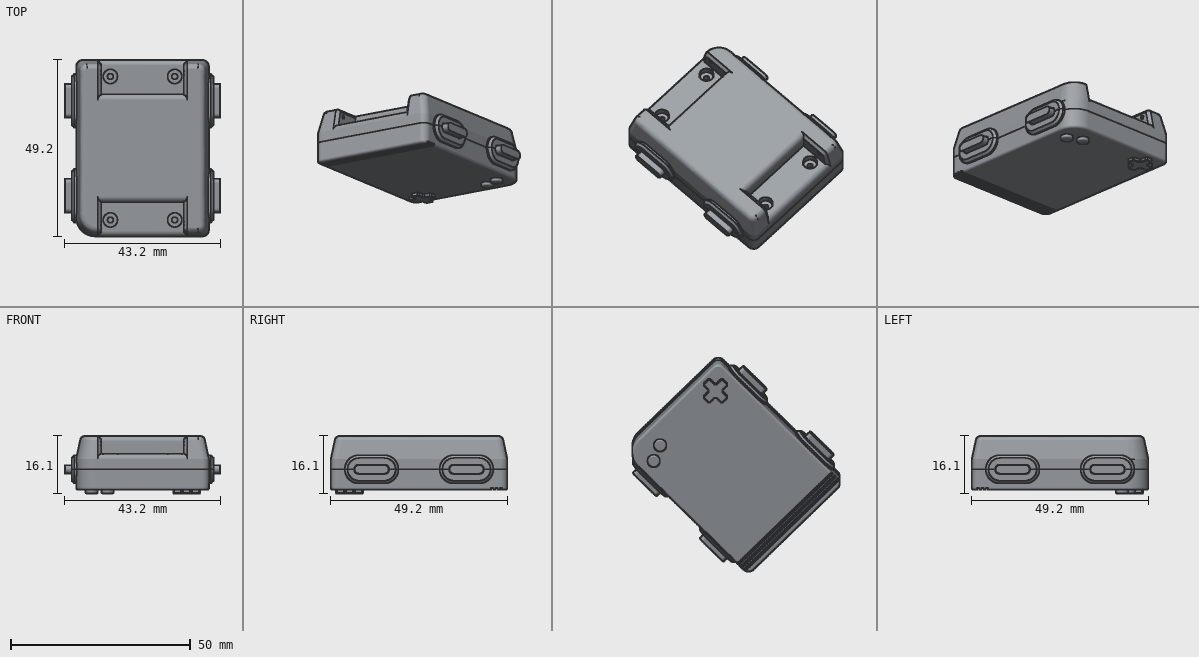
import cadquery as cq
import math

CASE_LENGTH = 49.15
CASE_WIDTH = 37.0
CASE_HEIGHT = 15.05
PARTING_Z = 5.75
CORNER_RADIUS = 1.95
BIG_CORNER_RADIUS = 5.5
BOTTOM_FILLET = 0.7

DRAFT_START_Z = 8.6
DRAFT_ANGLE = 12.0
LID_FILLET = 1.47
CORNER_TOP_RADIUS = 1.75
BIG_CORNER_TOP_RADIUS = 4.55
TOP_INSET = (CASE_HEIGHT - DRAFT_START_Z) * math.tan(math.radians(DRAFT_ANGLE))

POCKET_WIDTH = 23.0
POCKET_FLOOR_Z = 10.1
POCKET_BACK_Y = 15.0
POCKET_CHAMFER = 0.95
POCKET_FILLET = 1.5
PIN_HOLE_DIAMETER = 1.0
PIN_HOLE_DEPTH = 1.95
PIN_HOLE_Y = 20.95
PIN_HOLE_Z = 13.0

SCREW_X = 8.95
SCREW_Y = 19.95
SCREW_DIAMETER = 1.6
SCREW_HEAD_DIAMETER = 4.0
SCREW_HEAD_DEPTH = 2.2

BOSS_SPACING = 26.4
BOSS_Y = BOSS_SPACING / 2
BOSS_LENGTH = 14.95
BOSS_HEIGHT = 7.85
BOSS_FACE_X = 19.75
BOSS_CHAMFER = 0.8
PLUG_LENGTH = 9.45
PLUG_HEIGHT = 2.35
BAR_ROUNDING = 0.49
PLUG_CLEARANCE = 0.15
PLUG_SPAN = 43.2
PLUG_END_X = PLUG_SPAN / 2

PAD_HEIGHT = 1.0
ROUND_PAD_DIAMETER = 3.5
ROUND_PAD_FILLET = 0.45
ROUND_PAD_CENTRES = [(-14.15, -17.2), (-9.75, -19.1)]
CROSS_CENTRE = (12.25, -19.35, 0)
CROSS_SPAN = 7.5
CROSS_ARM_WIDTH = 2.5
CROSS_CORNER_CHAMFER = 0.35
CROSS_EDGE_CHAMFER = 0.15
GROOVE_WIDTH = 0.55
GROOVE_DEPTH = 0.55
GROOVE_PITCH = 1.25
GROOVE_MIDDLE_Y = 21.6

SIDES = (-1, 1)
TOLERANCE = 0.05


def case_outline(z, inset, corner_radius, big_corner_radius):
    """Rounded rectangle at height z whose -X, -Y corner has the larger radius."""
    x = CASE_WIDTH / 2 - inset
    y = CASE_LENGTH / 2 - inset
    r = corner_radius
    big = big_corner_radius
    return (
        cq.Workplane("XY", origin=(0, 0, z))
        .moveTo(-x + big, -y)
        .lineTo(x - r, -y)
        .radiusArc((x, -y + r), -r)
        .lineTo(x, y - r)
        .radiusArc((x - r, y), -r)
        .lineTo(-x + r, y)
        .radiusArc((-x, y - r), -r)
        .lineTo(-x, -y + big)
        .radiusArc((-x + big, -y), -big)
        .close()
    )


def side_boss(side, y):
    """Oblong boss rooted inside the case, centred on the parting plane, with a chamfered face."""
    root_x = CASE_WIDTH / 2 - 2 * TOP_INSET
    boss = (
        cq.Workplane("YZ", origin=(side * root_x, y, PARTING_Z))
        .slot2D(BOSS_LENGTH, BOSS_HEIGHT)
        .extrude(side * (BOSS_FACE_X - root_x))
    )
    face = ">X" if side > 0 else "<X"
    return boss.faces(face).chamfer(BOSS_CHAMFER)


def side_bar(side, y, length, height, outer_x):
    """Bar with rounded ends, from the side wall of the case out to outer_x."""
    root_x = CASE_WIDTH / 2
    return (
        cq.Workplane("YZ", origin=(side * root_x, y, PARTING_Z))
        .rect(length, height)
        .extrude(side * (outer_x - root_x))
        .edges("|X")
        .fillet(BAR_ROUNDING * height)
    )


def plug(side, y):
    """Plug that stands on the side wall of the case and sticks out of its boss."""
    return side_bar(side, y, PLUG_LENGTH, PLUG_HEIGHT, PLUG_END_X)


def plug_recess(side, y):
    """Opening through a boss that leaves a narrow gap around the plug."""
    length = PLUG_LENGTH + 2 * PLUG_CLEARANCE
    height = PLUG_HEIGHT + 2 * PLUG_CLEARANCE
    return side_bar(side, y, length, height, BOSS_FACE_X)


def lid_blank():
    """Solid lid: straight skirt below, sloping crown with a rounded top edge above."""
    base = case_outline(PARTING_Z, 0, CORNER_RADIUS, BIG_CORNER_RADIUS)
    skirt = base.extrude(DRAFT_START_Z - PARTING_Z)
    lower = case_outline(DRAFT_START_Z, 0, CORNER_RADIUS, BIG_CORNER_RADIUS).val()
    upper = case_outline(CASE_HEIGHT, TOP_INSET, CORNER_TOP_RADIUS, BIG_CORNER_TOP_RADIUS).val()
    crown = cq.Workplane(cq.Solid.makeLoft([lower, upper], True))
    crown = crown.faces(">Z").edges().fillet(LID_FILLET)
    return skirt.union(crown, clean=False)


def edges_in_box(body, low, high):
    return body.edges(cq.selectors.BoxSelector(low, high))


def cut_pocket(lid, end):
    """Cut one strap pocket down to the skirt, round its back edge and chamfer its side edges."""
    length = CASE_LENGTH / 2 - POCKET_BACK_Y
    height = CASE_HEIGHT - DRAFT_START_Z
    centre = (0, end * (POCKET_BACK_Y + length / 2), DRAFT_START_Z + height / 2)
    lid = lid.cut(cq.Workplane("XY").box(POCKET_WIDTH, length, height).translate(centre))

    back_y = end * POCKET_BACK_Y
    back_edge = edges_in_box(
        lid,
        (-TOLERANCE, back_y - TOLERANCE, CASE_HEIGHT - TOLERANCE),
        (TOLERANCE, back_y + TOLERANCE, CASE_HEIGHT + TOLERANCE),
    )
    lid = back_edge.fillet(POCKET_FILLET)

    for side in SIDES:
        wall_x = side * POCKET_WIDTH / 2
        side_edges = edges_in_box(
            lid,
            (wall_x - TOLERANCE, end * (POCKET_BACK_Y + POCKET_FILLET), DRAFT_START_Z + TOLERANCE),
            (wall_x + TOLERANCE, end * CASE_LENGTH / 2, CASE_HEIGHT + TOLERANCE),
        )
        lid = side_edges.chamfer(POCKET_CHAMFER)
    return lid


def pocket_ledge(end):
    """Floor block of one pocket, with the lid's slope and a rounded edge on its outer side."""
    slope_inset = (POCKET_FLOOR_Z - DRAFT_START_Z) * math.tan(math.radians(DRAFT_ANGLE))
    outer_y = CASE_LENGTH / 2
    half_width = POCKET_WIDTH / 2 + POCKET_CHAMFER
    ledge = (
        cq.Workplane("YZ", origin=(-half_width, 0, 0))
        .moveTo(end * POCKET_BACK_Y, DRAFT_START_Z)
        .lineTo(end * outer_y, DRAFT_START_Z)
        .lineTo(end * (outer_y - slope_inset), POCKET_FLOOR_Z)
        .lineTo(end * POCKET_BACK_Y, POCKET_FLOOR_Z)
        .close()
        .extrude(2 * half_width)
    )
    outer_face = ">Y" if end > 0 else "<Y"
    return ledge.faces(">Z").edges(outer_face).fillet(POCKET_FILLET)


def pin_hole(side, end):
    """Blind hole along X in a side wall of a pocket."""
    return (
        cq.Workplane("YZ", origin=(side * POCKET_WIDTH / 2, end * PIN_HOLE_Y, PIN_HOLE_Z))
        .circle(PIN_HOLE_DIAMETER / 2)
        .extrude(side * PIN_HOLE_DEPTH)
    )


def screw_hole(x, y):
    """Counterbored hole from a pocket floor down to the parting plane."""
    seat_z = POCKET_FLOOR_Z - SCREW_HEAD_DEPTH
    shank = cq.Workplane("XY", origin=(x, y, PARTING_Z)).circle(SCREW_DIAMETER / 2).extrude(seat_z - PARTING_Z)
    head = cq.Workplane("XY", origin=(x, y, seat_z)).circle(SCREW_HEAD_DIAMETER / 2).extrude(SCREW_HEAD_DEPTH)
    return shank.union(head)


def add_bosses(body, half_space):
    """Add the part of every side boss that lies in the given half space, with its plug recess."""
    for side in SIDES:
        for end in SIDES:
            y = end * BOSS_Y
            body = body.union(side_boss(side, y).intersect(half_space), clean=False)
            body = body.cut(plug_recess(side, y))
    return body


def half_space_block(direction):
    """Large block that fills the space above (1) or below (-1) the parting plane."""
    size = 2 * CASE_LENGTH
    return cq.Workplane("XY", origin=(0, 0, PARTING_Z)).rect(size, size).extrude(direction * size)


def make_lid():
    lid = lid_blank()
    for end in SIDES:
        lid = cut_pocket(lid, end).union(pocket_ledge(end), clean=False)
    for side in SIDES:
        for end in SIDES:
            lid = lid.cut(pin_hole(side, end))
            lid = lid.cut(screw_hole(side * SCREW_X, end * SCREW_Y))
    return add_bosses(lid, half_space_block(1))


def round_pad(x, y):
    """Round pad with a rounded lower rim."""
    pad = cq.Workplane("XY", origin=(x, y, 0)).circle(ROUND_PAD_DIAMETER / 2).extrude(-PAD_HEIGHT)
    return pad.faces("<Z").edges().fillet(ROUND_PAD_FILLET)


def cross_pad():
    """Plus-shaped pad with chamfered corners and a chamfered lower rim."""
    cross = cq.Workplane("XY").rect(CROSS_SPAN, CROSS_ARM_WIDTH).extrude(-PAD_HEIGHT)
    cross = cross.union(cq.Workplane("XY").rect(CROSS_ARM_WIDTH, CROSS_SPAN).extrude(-PAD_HEIGHT))
    cross = cross.edges("|Z").chamfer(CROSS_CORNER_CHAMFER)
    cross = cross.faces("<Z").chamfer(CROSS_EDGE_CHAMFER)
    return cross.translate(CROSS_CENTRE)


def groove(y):
    """Straight groove along X across the underside."""
    return cq.Workplane("XY").box(CASE_WIDTH, GROOVE_WIDTH, GROOVE_DEPTH, centered=(True, True, False)).translate(
        (0, y, 0)
    )


def make_base():
    base = case_outline(0, 0, CORNER_RADIUS, BIG_CORNER_RADIUS).extrude(PARTING_Z)
    base = base.faces("<Z").edges().fillet(BOTTOM_FILLET)
    for step in (-1, 0, 1):
        base = base.cut(groove(GROOVE_MIDDLE_Y + step * GROOVE_PITCH))
    for x, y in ROUND_PAD_CENTRES:
        base = base.union(round_pad(x, y))
    base = base.union(cross_pad())
    return add_bosses(base, half_space_block(-1))


lid = make_lid()
base = make_base()
plugs = [plug(side, end * BOSS_Y).val() for side in SIDES for end in SIDES]
result = cq.Compound.makeCompound([lid.val(), base.val(), *plugs])